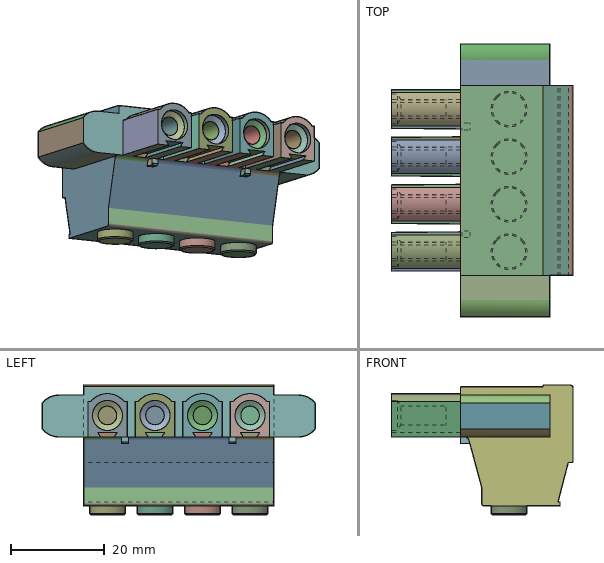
import cadquery as cq
import math


housing_width = 40.65
housing_depth = 24.1
housing_height = 25.9
top_step_x = 17.65
top_step_rise = 0.35
top_step_radius = 0.3
front_edge_radius = 0.35
back_edge_radius = 0.7
ledge_z = 14.7
ledge_depth = 1.65
ledge_radius = 0.9
foot_front_x = 4.55
foot_front_height = 3.85
foot_edge_radius = 0.45
foot_back_x = 21.3
foot_lip_height = 0.9
foot_lip_depth = 0.4
back_ledge_x = 23.05
back_ledge_z = 9.2
back_ledge_radius = 0.35

overall_width = 58.4
flange_depth = 19.15
flange_height = 9.0
flange_arc_inset = 3.55

pole_count = 4
pole_pitch = 10.15
socket_length = 14.8
socket_overlap = 0.6
socket_half_width = 4.15
socket_draft = 0.1
socket_shoulder_z = 22.3
socket_axis_z = 19.35
socket_crown_radius = 4.7
mouth_radius = 3.2
mouth_depth = 1.35
funnel_depth = 0.7
bore_radius = 2.0
bore_depth = 11.7
dovetail_top_width = 4.1
dovetail_mouth_width = 2.85
dovetail_height = 0.95
screw_x = 10.4
screw_radius = 3.825
screw_height = 1.9
screw_chamfer = 0.3

tab_spacing = 23.0
tab_width = 1.45
tab_height = 1.4
tab_chamfer = 0.35
tab_lip = 0.25

pole_positions = [(i - (pole_count - 1) / 2) * pole_pitch for i in range(pole_count)]


def make_housing():
    low_top_z = housing_height - top_step_rise
    outline = [
        (0, ledge_z),
        (0, low_top_z),
        (top_step_x, low_top_z),
        (top_step_x, housing_height),
        (housing_depth, housing_height),
        (housing_depth, back_ledge_z),
        (back_ledge_x, back_ledge_z),
        (foot_back_x - foot_lip_depth, foot_lip_height),
        (foot_back_x, foot_lip_height),
        (foot_back_x, 0),
        (foot_front_x, 0),
        (foot_front_x, foot_front_height),
        (ledge_depth, ledge_z),
    ]
    rounded_edges = [
        (0, low_top_z, front_edge_radius),
        (top_step_x, housing_height, top_step_radius),
        (housing_depth, housing_height, back_edge_radius),
        (housing_depth, back_ledge_z, back_ledge_radius),
        (foot_front_x, 0, foot_edge_radius),
        (ledge_depth, ledge_z, ledge_radius),
    ]
    housing = cq.Workplane("XZ").polyline(outline).close().extrude(housing_width / 2, both=True)
    for x, z, radius in rounded_edges:
        housing = housing.edges(cq.NearestToPointSelector((x, 0, z))).fillet(radius)
    return housing


def make_flanges():
    """Bar across both sides with rounded ends cut off flat at the overall width."""
    end_radius = flange_height / 2
    middle_z = ledge_z + end_radius
    arc_span = overall_width - 2 * flange_arc_inset + flange_height
    bar = cq.Workplane("YZ").center(0, middle_z).slot2D(arc_span, flange_height).extrude(flange_depth)
    trim = cq.Workplane("XY").box(2 * flange_depth, overall_width, 2 * housing_height)
    return bar.intersect(trim)


def make_socket(y, low_y_draft, high_y_draft):
    """Flat-sided socket with a round crown; drafts widen its -Y and +Y sides towards the housing."""
    crown_z = socket_axis_z + socket_crown_radius
    shoulder_rise = socket_shoulder_z - socket_axis_z
    half_crown = math.sqrt(socket_crown_radius**2 - shoulder_rise**2)
    base = [
        (-socket_length, y - socket_half_width),
        (0, y - socket_half_width - low_y_draft),
        (socket_overlap, y - socket_half_width - low_y_draft),
        (socket_overlap, y + socket_half_width + high_y_draft),
        (0, y + socket_half_width + high_y_draft),
        (-socket_length, y + socket_half_width),
    ]
    block = (
        cq.Workplane("XY", origin=(0, 0, ledge_z))
        .polyline(base).close().extrude(socket_shoulder_z - ledge_z)
    )
    crown = (
        cq.Workplane("YZ", origin=(-socket_length, y, 0))
        .moveTo(-half_crown, socket_shoulder_z)
        .threePointArc((0, crown_z), (half_crown, socket_shoulder_z))
        .close().extrude(socket_length + socket_overlap)
    )
    return block.union(crown)


def make_socket_bore(y):
    """Stepped cavity: wide mouth, funnel, then a blind contact bore."""
    funnel_end = mouth_depth + funnel_depth
    half_section = [
        (0, 0),
        (0, mouth_radius),
        (mouth_depth, mouth_radius),
        (funnel_end, bore_radius),
        (bore_depth, bore_radius),
        (bore_depth, 0),
    ]
    return (
        cq.Workplane("XY", origin=(-socket_length, y, socket_axis_z))
        .polyline(half_section).close().revolve(axisStart=(0, 0), axisEnd=(1, 0))
    )


def make_dovetail(y):
    """Undercut groove along the socket underside."""
    half_mouth = dovetail_mouth_width / 2
    half_top = dovetail_top_width / 2
    section = [
        (-half_mouth, 0),
        (-half_top, dovetail_height),
        (half_top, dovetail_height),
        (half_mouth, 0),
    ]
    return (
        cq.Workplane("YZ", origin=(-socket_length, y, ledge_z))
        .polyline(section).close().extrude(socket_length)
    )


def make_screw(y):
    return (
        cq.Workplane("XY", origin=(screw_x, y, -screw_height))
        .circle(screw_radius).extrude(screw_height)
        .faces("<Z").chamfer(screw_chamfer)
    )


def make_tab(side):
    """Tab at -Y (side = -1) or +Y (side = 1), its front lower edge chamfered except for the lip."""
    y = side * tab_spacing / 2
    tab_bottom = ledge_z - tab_height
    block = (
        cq.Workplane("XY", origin=(0, y, tab_bottom))
        .box(foot_front_x, tab_width, tab_height, centered=(False, True, False))
    )
    corner = (
        cq.Workplane("XZ", origin=(0, y - side * tab_lip, 0))
        .moveTo(0, tab_bottom).lineTo(tab_chamfer, tab_bottom).lineTo(0, tab_bottom + tab_chamfer)
        .close().extrude(tab_width / 2, both=True)
    )
    return block.cut(corner)


result = make_housing().union(make_flanges())
for index, pole_y in enumerate(pole_positions):
    low_y_draft = socket_draft if index > 0 else 0
    high_y_draft = socket_draft if index < pole_count - 1 else 0
    result = result.union(make_socket(pole_y, low_y_draft, high_y_draft)).union(make_screw(pole_y))
    result = result.cut(make_socket_bore(pole_y)).cut(make_dovetail(pole_y))
for side in (-1, 1):
    result = result.union(make_tab(side))